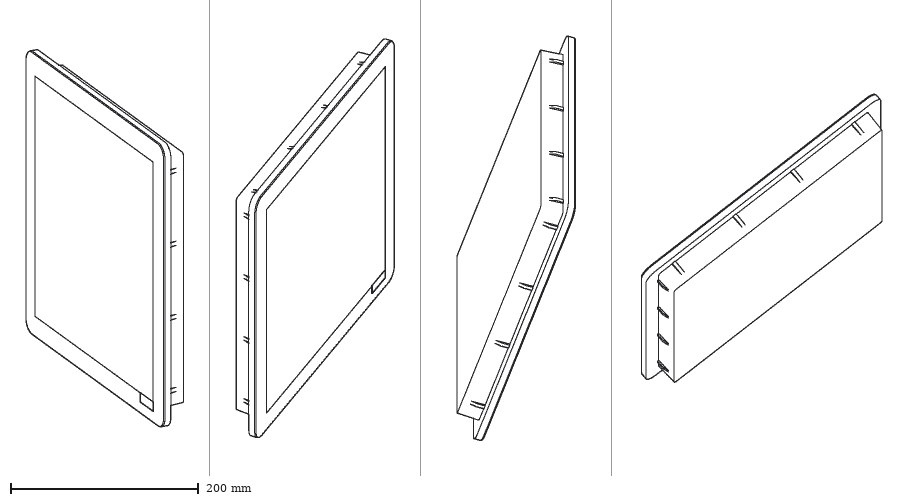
import cadquery as cq
import math

side = 325.0
depth = 34.0

frame_depth = 9.5
corner_radius = 14.3
bevel_width = 0.5
bevel_depth = 1.3
slope_width = 12.7
slope_depth = 1.0
edge_depth = frame_depth - bevel_depth - slope_depth

panel_width = 277.5
panel_height = 275.5
panel_recess = 0.15
label_recess = 0.5
label_width = 30.5
label_height = 10.7

housing_side = 287.5
housing_radius = 3.5
housing_flare = 1.0
housing_depth = depth - frame_depth

rib_reach = 146.2
rib_root = 141.5
rib_length = 15.3
rib_flat = 8.8
rib_width = 5.0
rib_crest_width = 4.2
rib_root_width = 7.0
side_rib_positions = (-125.8, -42.0, 42.0, 125.8)
top_rib_positions = (-124.0, -40.0, 40.0, 124.0)


def rounded_layer(width, radius, back, thickness, inset):
    """Rounded square starting at y = back, running forward and shrinking by inset on every side."""
    taper = math.degrees(math.atan2(inset, thickness))
    outline = cq.Sketch().rect(width, width).vertices().fillet(radius)
    return cq.Workplane("XZ", origin=(0, back, 0)).placeSketch(outline).extrude(thickness, taper=taper)


def make_frame():
    edge = rounded_layer(side, corner_radius, frame_depth, edge_depth, 0)
    bevel = rounded_layer(side, corner_radius, bevel_depth + slope_depth, bevel_depth, bevel_width)
    slope = rounded_layer(
        side - 2 * bevel_width, corner_radius - bevel_width, slope_depth, slope_depth, slope_width
    )
    return edge.union(bevel).union(slope)


def make_housing():
    """Drafted block whose corner radius stays the same from back to frame."""
    frame_side = housing_side + 2 * housing_flare
    back = cq.Sketch().rect(housing_side, housing_side).vertices().fillet(housing_radius)
    front = cq.Sketch().rect(frame_side, frame_side).vertices().fillet(housing_radius)
    return (
        cq.Workplane("XZ", origin=(0, depth, 0))
        .placeSketch(back, front.moved(cq.Location(cq.Vector(0, 0, housing_depth))))
        .loft()
    )


def make_recess():
    panel = cq.Workplane("XY").box(panel_width, panel_recess, panel_height, centered=(True, False, True))
    label = (
        cq.Workplane("XY")
        .box(label_width, label_recess, label_height, centered=False)
        .translate((panel_width / 2 - label_width, 0, -panel_height / 2 - label_height))
    )
    return panel.union(label)


def rib_side_profile():
    """Rib standing on the +X wall: flat crest near the frame, then a ramp down to the wall."""
    wall_at_tip = housing_side / 2 + housing_flare * (housing_depth - rib_length) / housing_depth
    return [
        (rib_root, frame_depth),
        (rib_reach, frame_depth),
        (rib_reach, frame_depth + rib_flat),
        (wall_at_tip, frame_depth + rib_length),
        (rib_root, frame_depth + rib_length),
    ]


def make_side_rib():
    return cq.Workplane("XY").polyline(rib_side_profile()).close().extrude(rib_width / 2, both=True)


def rib_section(root_width):
    """Outline across a top rib: fixed crest width, given width at the root."""
    return [
        (-root_width / 2, rib_root),
        (root_width / 2, rib_root),
        (rib_crest_width / 2, rib_reach),
        (-rib_crest_width / 2, rib_reach),
    ]


def make_top_rib():
    """Rib on the +Z wall: same profile, with its root spreading towards the frame."""
    blank = (
        cq.Workplane("XY")
        .polyline(rib_side_profile())
        .close()
        .extrude(rib_root_width, both=True)
        .rotate((0, 0, 0), (0, 1, 0), -90)
    )
    spread = (
        cq.Workplane("XZ", origin=(0, frame_depth + rib_length, 0))
        .polyline(rib_section(rib_crest_width))
        .close()
        .workplane(offset=rib_length)
        .polyline(rib_section(rib_root_width))
        .close()
        .loft(ruled=True)
    )
    return blank.intersect(spread)


def add_rib_pair(body, rib, offset):
    """Add a rib and the matching one on the opposite wall."""
    placed = rib.translate(offset)
    opposite = placed.rotate((0, 0, 0), (0, 1, 0), 180)
    return body.union(placed).union(opposite)


result = make_frame().union(make_housing()).cut(make_recess())
for z in side_rib_positions:
    result = add_rib_pair(result, make_side_rib(), (0, 0, z))
for x in top_rib_positions:
    result = add_rib_pair(result, make_top_rib(), (x, 0, 0))